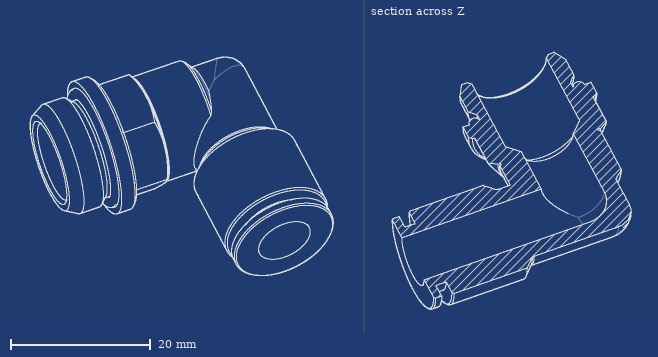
import cadquery as cq
import math


elbow_radius = 6.48
corner_ratio = 0.466
corner_sections = 9
smallest_face = 0.1282

socket_radius = 8.0
shoulder_start = 10.02
shoulder_lead_in = 0.32
shoulder_foot_radius = 6.6
shoulder_length = socket_radius - shoulder_foot_radius
socket_end = 23.05
socket_chamfer = 0.25
collar_neck_radius = 5.65
collar_radius = 7.7
collar_start = 24.6
collar_chamfer = 0.2

body_radius = 7.88
body_start = 1.43
body_chamfer_start = 1.8
body_chamfer_radius = 7.63
body_edge_start = 2.35
body_full_start = 2.72
body_end = 10.27
groove_radius = 7.63
hex_start = 10.5
hex_across_flats = 16.0
hex_chamfer_depth = 0.7
flange_radius = 20.0 / 2
flange_start = 16.07
flange_end = 18.58
flange_chamfer = 0.43
seal_radius = 9.0
seal_section_radius = 0.85
thread_neck_radius = 7.3
thread_neck_end = 19.7
thread_radius = 8.27
thread_start = 20.7
thread_taper_start = 23.7
thread_tip_radius = 7.23
stem_end = 25.53

overall_length = 35.8
collar_end = overall_length - flange_radius

passage_radius = 4.0
mouth_radius = 6.25
counterbore_radius = 5.75
mouth_depth = 0.55
counterbore_depth = 12.53
funnel_length = counterbore_radius - passage_radius


def turned_stem(points):
    """Turn (radius, distance) points about the stem axis."""
    outline = [(radius, -distance) for radius, distance in points]
    return cq.Workplane("XY").polyline(outline).close().revolve(360, (0, 0, 0), (0, 1, 0))


def turned_tube(points):
    """Turn (distance, radius) points about the tube axis."""
    return cq.Workplane("XY").polyline(points).close().revolve(360, (0, 0, 0), (1, 0, 0))


def corner_reach(angle):
    """Distance from the axis crossing to a unit square corner rounded by corner_ratio."""
    centre = math.sqrt(2) * (1 - corner_ratio)
    off_diagonal = angle - math.radians(135)
    return centre * math.cos(off_diagonal) + math.sqrt(
        corner_ratio**2 - (centre * math.sin(off_diagonal)) ** 2
    )


def make_corner():
    """Rounded outer corner: half ellipses lofted around Z between the two cylinders."""
    first_angle = math.pi / 2 + math.atan(1 - corner_ratio)
    last_angle = math.pi - math.atan(1 - corner_ratio)
    wires = []
    for index in range(corner_sections):
        angle = first_angle + (last_angle - first_angle) * index / (corner_sections - 1)
        direction = cq.Vector(math.cos(angle), math.sin(angle), 0)
        plane = cq.Plane((0, 0, 0), direction, direction.cross(cq.Vector(0, 0, 1)))
        reach = elbow_radius * corner_reach(angle)
        half = (
            cq.Workplane(plane)
            .moveTo(0, -elbow_radius)
            .ellipseArc(reach, elbow_radius, -90, 90, startAtCurrent=True)
            .close()
        )
        wires.append(half.wire().val())
    faces = [face for face in cq.Solid.makeLoft(wires).Faces() if face.Area() > smallest_face]
    solid = cq.Solid.makeSolid(cq.Shell.makeShell(faces))
    return cq.Workplane("XY").newObject([solid])


def make_leg(plane_name, outline):
    """Full cylinder trimmed to an outline in the XY plane."""
    reach = 2 * elbow_radius
    cylinder = cq.Workplane(plane_name).circle(elbow_radius).extrude(reach, both=True)
    keep = cq.Workplane("XY").polyline(outline).close().extrude(reach, both=True)
    return cylinder.intersect(keep)


def make_elbow():
    far = 1.5 * elbow_radius
    offset = far * (1 - corner_ratio)
    tube_leg = make_leg(
        "YZ", [(0, 0), (-offset, far), (shoulder_start, far), (shoulder_start, -far), (far, -far)]
    )
    stem_leg = make_leg("XZ", [(0, 0), (-far, offset), (-far, -body_end), (far, -body_end), (far, -far)])
    return tube_leg.union(stem_leg).union(make_corner())


def make_socket():
    return turned_tube([
        (shoulder_start - shoulder_lead_in, 0),
        (shoulder_start - shoulder_lead_in, elbow_radius),
        (shoulder_start, shoulder_foot_radius),
        (shoulder_start + shoulder_length, socket_radius),
        (socket_end - socket_chamfer, socket_radius),
        (socket_end, socket_radius - socket_chamfer),
        (socket_end, collar_neck_radius),
        (collar_start, collar_neck_radius),
        (collar_start, collar_radius),
        (collar_end - collar_chamfer, collar_radius),
        (collar_end, collar_radius - collar_chamfer),
        (collar_end, 0),
    ])


def make_body():
    return turned_stem([
        (0, body_start),
        (elbow_radius, body_start),
        (elbow_radius + body_chamfer_start - body_start, body_chamfer_start),
        (body_chamfer_radius, body_edge_start),
        (body_radius, body_full_start),
        (body_radius, body_end),
        (groove_radius, body_end),
        (groove_radius, hex_start),
        (0, hex_start),
    ])


def make_hex():
    corner_radius = hex_across_flats / math.sqrt(3)
    hexagon = (
        cq.Workplane("XZ", origin=(0, -hex_start, 0))
        .polygon(6, 2 * corner_radius)
        .extrude(flange_start - hex_start)
    )
    chamfer_envelope = turned_stem([
        (0, hex_start),
        (hex_across_flats / 2, hex_start),
        (corner_radius, hex_start + hex_chamfer_depth),
        (corner_radius, flange_start),
        (0, flange_start),
    ])
    return hexagon.intersect(chamfer_envelope)


def make_threaded_end():
    flange_and_thread = turned_stem([
        (0, flange_start),
        (flange_radius - flange_chamfer, flange_start),
        (flange_radius, flange_start + flange_chamfer),
        (flange_radius, flange_end),
        (thread_neck_radius, flange_end),
        (thread_neck_radius, thread_neck_end),
        (thread_radius, thread_start),
        (thread_radius, thread_taper_start),
        (thread_tip_radius, stem_end),
        (0, stem_end),
    ])
    seal = cq.Workplane("XY").newObject([
        cq.Solid.makeTorus(
            seal_radius - seal_section_radius, seal_section_radius,
            cq.Vector(0, -flange_end, 0), cq.Vector(0, 1, 0),
        )
    ])
    return flange_and_thread.union(seal)


def make_stem_bore():
    funnel_start = stem_end - counterbore_depth
    return turned_stem([
        (0, 0),
        (passage_radius, 0),
        (passage_radius, funnel_start - funnel_length),
        (counterbore_radius, funnel_start),
        (counterbore_radius, stem_end - mouth_depth),
        (mouth_radius, stem_end),
        (0, stem_end),
    ])


def make_tube_bore():
    bore = cq.Workplane("YZ").circle(passage_radius).extrude(collar_end)
    return bore.union(cq.Workplane("XY").sphere(passage_radius))


result = (
    make_elbow()
    .union(make_socket())
    .union(make_body())
    .union(make_hex())
    .union(make_threaded_end())
    .cut(make_stem_bore())
    .cut(make_tube_bore())
)